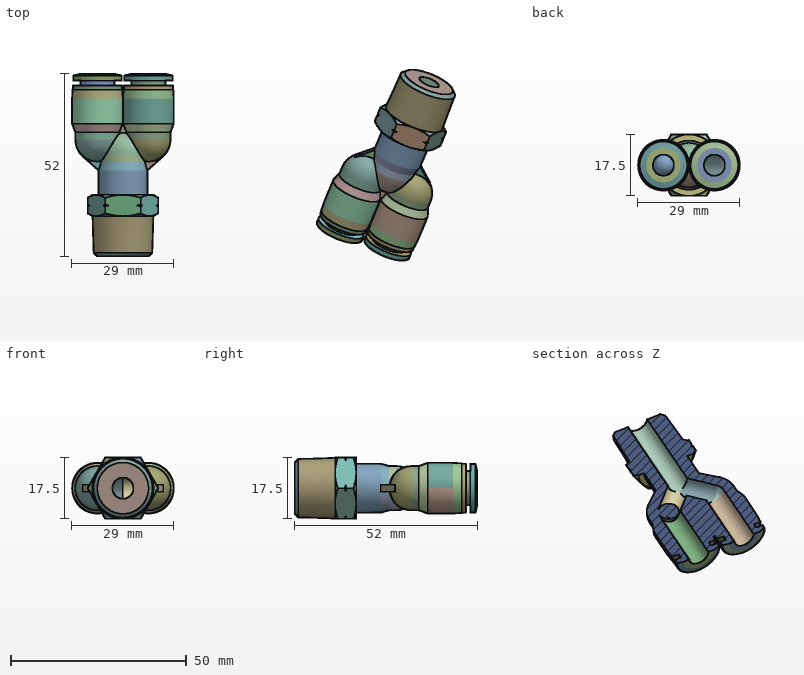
import cadquery as cq
import math


thread_length = 11.5
thread_end_radius = 8.37
thread_taper = 1 / 32
thread_chamfer_length = 1.0
thread_face_radius = 7.3

hex_across_flats = 17.46
hex_corner_radius = hex_across_flats / math.sqrt(3)
hex_start = thread_length
hex_height = 6.0
hex_end = hex_start + hex_height
hex_chamfer_angle = math.radians(30)
corner_notch_radius = 9.65
corner_notch_half_angle = math.radians(32)

stem_radius = 7.0
stem_shoulder_y = 24.5
stem_taper_length = 2.35
stem_dome_y = 28.9

total_length = 51.95
leg_radius = 7.25
leg_spacing = 2 * leg_radius
dome_radius = 6.33
leg_dome_y = 33.25
leg_taper_start_y = 35.35
leg_taper_end_y = 37.8
cap_taper_start_y = 45.0
cap_rim_y = 47.5
cap_rim_radius = 7.12
cap_edge_y = 48.62
cap_edge_radius = 7.02
cap_end_y = 48.78
cap_end_radius = 6.75

collar_neck_radius = 4.9
collar_radius = 6.93
collar_start_y = 50.0
collar_edge_y = 51.4
collar_bevel_y = 51.55
collar_bevel_radius = 6.75
collar_face_radius = 4.9

web_thickness = 2.06

bore_radius = 3.0
fork_angle = math.radians(45)
fork_y = leg_dome_y - leg_spacing / 2 / math.tan(fork_angle)


def revolve_about_y(outline):
    return outline.close().revolve(360, (0, 0, 0), (0, 1, 0))


def make_thread():
    root_radius = thread_end_radius + thread_taper * (thread_length - thread_chamfer_length)
    outline = (
        cq.Workplane("XY")
        .lineTo(thread_face_radius, 0)
        .lineTo(thread_end_radius, thread_chamfer_length)
        .lineTo(root_radius, thread_length)
        .lineTo(0, thread_length)
    )
    return revolve_about_y(outline)


def make_hex_envelope():
    """Round blank that chamfers the hexagon and notches its corners."""
    flat_radius = hex_across_flats / 2
    blank_radius = hex_corner_radius + 1
    chamfer_depth = (blank_radius - flat_radius) * math.tan(hex_chamfer_angle)
    notch_half_width = (blank_radius - corner_notch_radius) * math.tan(corner_notch_half_angle)
    hex_middle = hex_start + hex_height / 2
    outline = (
        cq.Workplane("XY")
        .moveTo(0, hex_start)
        .lineTo(flat_radius, hex_start)
        .lineTo(blank_radius, hex_start + chamfer_depth)
        .lineTo(blank_radius, hex_middle - notch_half_width)
        .lineTo(corner_notch_radius, hex_middle)
        .lineTo(blank_radius, hex_middle + notch_half_width)
        .lineTo(blank_radius, hex_end - chamfer_depth)
        .lineTo(flat_radius, hex_end)
        .lineTo(0, hex_end)
    )
    return revolve_about_y(outline)


def make_hexagon():
    prism = (
        cq.Workplane("XZ", origin=(0, hex_start, 0))
        .polygon(6, 2 * hex_corner_radius)
        .extrude(-hex_height)
    )
    return prism.intersect(make_hex_envelope())


def make_stem():
    arc_offset = dome_radius * math.sqrt(0.5)
    outline = (
        cq.Workplane("XY")
        .moveTo(0, hex_end)
        .lineTo(stem_radius, hex_end)
        .lineTo(stem_radius, stem_shoulder_y)
        .lineTo(dome_radius, stem_shoulder_y + stem_taper_length)
        .lineTo(dome_radius, stem_dome_y)
        .threePointArc(
            (arc_offset, stem_dome_y + arc_offset),
            (0, stem_dome_y + dome_radius),
        )
    )
    return revolve_about_y(outline)


def make_leg():
    """One leg with its release collar, on the Y axis."""
    arc_offset = dome_radius * math.sqrt(0.5)
    outline = (
        cq.Workplane("XY")
        .moveTo(0, leg_dome_y - dome_radius)
        .threePointArc(
            (arc_offset, leg_dome_y - arc_offset),
            (dome_radius, leg_dome_y),
        )
        .lineTo(dome_radius, leg_taper_start_y)
        .lineTo(leg_radius, leg_taper_end_y)
        .lineTo(leg_radius, cap_taper_start_y)
        .lineTo(cap_rim_radius, cap_rim_y)
        .lineTo(cap_edge_radius, cap_rim_y)
        .lineTo(cap_edge_radius, cap_edge_y)
        .lineTo(cap_end_radius, cap_end_y)
        .lineTo(collar_neck_radius, cap_end_y)
        .lineTo(collar_neck_radius, collar_start_y)
        .lineTo(collar_radius, collar_start_y)
        .lineTo(collar_radius, collar_edge_y)
        .lineTo(collar_bevel_radius, collar_bevel_y)
        .lineTo(collar_face_radius, total_length)
        .lineTo(0, total_length)
    )
    return revolve_about_y(outline)


def make_web():
    """Flat web whose lower edges run from the stem shoulder tangent to the leg domes."""
    leg_x = leg_spacing / 2
    to_dome_x = leg_x - stem_radius
    to_dome_y = leg_dome_y - stem_shoulder_y
    distance = math.hypot(to_dome_x, to_dome_y)
    edge_angle = math.atan2(to_dome_y, to_dome_x) - math.asin(dome_radius / distance)
    edge_length = math.sqrt(distance**2 - dome_radius**2)
    tangent_x = stem_radius + edge_length * math.cos(edge_angle)
    tangent_y = stem_shoulder_y + edge_length * math.sin(edge_angle)
    return (
        cq.Workplane("XY")
        .moveTo(-stem_radius, stem_shoulder_y)
        .lineTo(stem_radius, stem_shoulder_y)
        .lineTo(tangent_x, tangent_y)
        .lineTo(leg_x, leg_dome_y)
        .lineTo(leg_x, cap_rim_y)
        .lineTo(-leg_x, cap_rim_y)
        .lineTo(-leg_x, leg_dome_y)
        .lineTo(-tangent_x, tangent_y)
        .close()
        .extrude(web_thickness / 2, both=True)
    )


def make_passage(side):
    """Bore from the thread face to the fork, then across and along one leg axis."""
    leg_x = side * leg_spacing / 2
    stem_bore = cq.Workplane("XZ").circle(bore_radius).extrude(-fork_y)
    path = (
        cq.Workplane("XY")
        .moveTo(0, fork_y)
        .lineTo(leg_x, leg_dome_y)
        .lineTo(leg_x, total_length)
    )
    branch_plane = cq.Plane(
        origin=(0, fork_y, 0),
        xDir=(0, 0, 1),
        normal=(leg_x, leg_dome_y - fork_y, 0),
    )
    branch = cq.Workplane(branch_plane).circle(bore_radius).sweep(path, transition="round")
    return stem_bore.union(branch)


body = make_thread().union(make_hexagon()).union(make_stem()).union(make_web())
for side in (-1, 1):
    body = body.union(make_leg().translate((side * leg_spacing / 2, 0, 0)))
for side in (-1, 1):
    body = body.cut(make_passage(side))

result = cq.Workplane(body.solids().val())